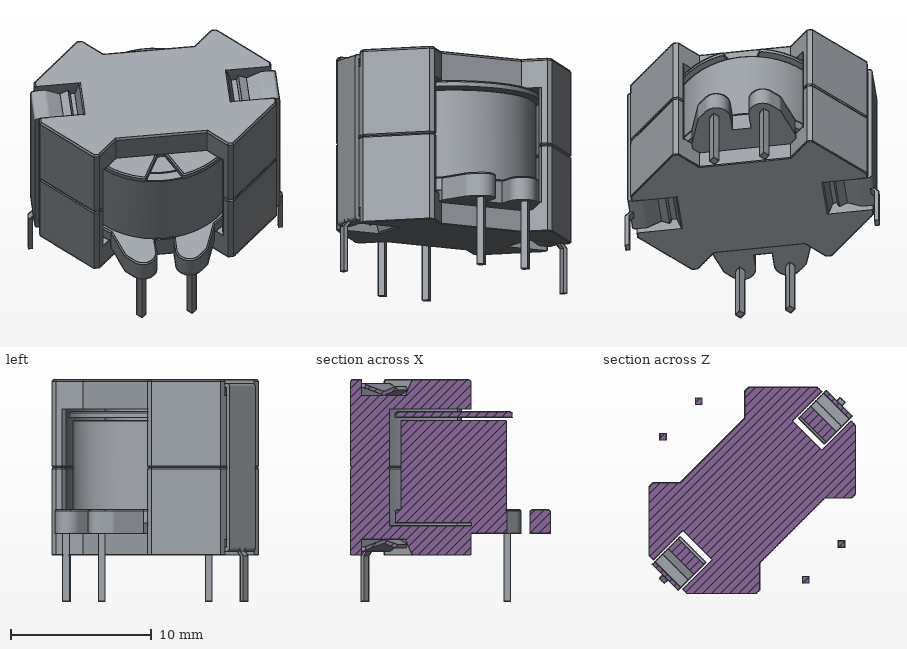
import cadquery as cq
import math

ROOT2 = math.sqrt(2)
TURN = 45
EXTRA = 20.0

CORE_HEIGHT = 12.5
CORE_SIDE = 14.7
WING_OFFSET = 0.55
CORE_END = 8.47
WAIST_HALF = 4.03
WING_CHAMFER = 0.28
TOP_CHAMFER_HEIGHT = 0.15
TOP_CHAMFER_WIDTH = 0.1
BOTTOM_CHAMFER = 0.06
MATING_CHAMFER = 0.1
FLOOR_THICKNESS = 2.1
POCKET_RADIUS = 6.37
WINDOW_HALF = 4.3

SLOT_WIDTH = 2.95
SLOT_DEPTH = 1.13
SLOT_INNER_TOP = 5.19
SLOT_RIM_CHAMFER = 0.1
SLOT_INNER_FLOOR = 5.6

CLIP_WIDTH = 2.6
CLIP_THICKNESS = 0.3
CLIP_OUTER = CORE_END + CLIP_THICKNESS
CLIP_SETBACK = 0.27
CLIP_BEND = 0.25
ARM_END = 7.72
ARM_CREASE_RADIUS = 0.4
VALLEY = 6.67
ARM_TIP = 6.1
TIP_SETBACK = 0.5
CLIP_PIN_WIDTH = 0.5
CLIP_PIN_OUTER = 9.1
JOG_TOP = 0.3
JOG_BOTTOM = -0.05

OVERALL_HEIGHT = 15.78
PIN_END = CORE_HEIGHT - OVERALL_HEIGHT
PIN_SIZE = 0.48
PIN_NEAR = 3.81
PIN_FAR = 6.35

HUB_RADIUS = 7.15 / 2
FLANGE_RADIUS = 6.12
BASE_BOTTOM = 1.56
BASE_TOP = 3.25
LOWER_FLANGE_BOTTOM = 2.3
FLANGE_BOTTOM = 9.8
FLANGE_TOP = 10.21
EDGE_CHAMFER = 0.1
LEAD_NOTCH_APEX = 3.2
LEAD_NOTCH_HALF_ANGLE = 26
LEAD_NOTCH_CORNER = 0.2
LOBE_RADIUS = 1.0
LOBE_NOTCH_HALF = 0.67
LOBE_NOTCH_FLOOR = 5.85
LOBE_REACH = 7.15
LOBE_CORNER = 2.97
LOBE_ROOT = 0.82
LOBE_CORNER_RADIUS = 0.4

WINDING_RADIUS = 11.69 / 2
WINDING_CHAMFER = 0.05
WINDING_TOP = 9.6
GROOVE_INNER = 10.07 / 2
GROOVE_OUTER = 10.17 / 2


def to_core_axes(x, y):
    """Express a point of the final axes in the core axes."""
    return ((x + y) / ROOT2, (y - x) / ROOT2)


def mirror_in_height(body):
    """Mirror image about mid height of the core."""
    return body.mirror("XY", (0, 0, CORE_HEIGHT / 2))


def core_outline():
    square_half = CORE_SIDE / 2
    end_corner = (CORE_END, square_half * ROOT2 - CORE_END)
    wing_corner = to_core_axes(-WING_OFFSET, square_half)
    waist_corner = (wing_corner[0] - (wing_corner[1] - WAIST_HALF), WAIST_HALF)
    quarter = [end_corner, wing_corner, waist_corner]
    half = quarter + [(-x, y) for x, y in reversed(quarter)]
    return half + [(-x, -y) for x, y in half], wing_corner


def clip_slot():
    floor = CORE_HEIGHT - SLOT_DEPTH
    profile = [
        (SLOT_INNER_TOP, CORE_HEIGHT),
        (SLOT_INNER_TOP + SLOT_RIM_CHAMFER, CORE_HEIGHT - SLOT_RIM_CHAMFER),
        (SLOT_INNER_FLOOR, floor),
        (EXTRA, floor),
        (EXTRA, CORE_HEIGHT),
    ]
    return cq.Workplane("XZ").polyline(profile).close().extrude(SLOT_WIDTH / 2, both=True)


def winding_window():
    """Round pocket for the bobbin, opened through both waists."""
    height = CORE_HEIGHT - 2 * FLOOR_THICKNESS
    floor = cq.Workplane("XY").workplane(offset=FLOOR_THICKNESS)
    pocket = floor.circle(POCKET_RADIUS).extrude(height)
    opening = floor.rect(2 * WINDOW_HALF, EXTRA).extrude(height)
    return pocket.union(opening)


def core_half(outer_chamfer_height, outer_chamfer_width):
    """Upper core half, with the given chamfer around its outer face."""
    outline, wing = core_outline()
    middle = CORE_HEIGHT / 2
    body = cq.Workplane("XY").workplane(offset=middle).polyline(outline).close().extrude(middle)
    for x in (wing[0], -wing[0]):
        for y in (wing[1], -wing[1]):
            edge = cq.selectors.NearestToPointSelector((x, y, CORE_HEIGHT * 3 / 4))
            body = body.edges("|Z").edges(edge).chamfer(WING_CHAMFER)
    body = body.faces(">Z").edges().chamfer(outer_chamfer_height, outer_chamfer_width)
    body = body.cut(winding_window()).faces("<Z").edges().chamfer(MATING_CHAMFER)
    slot = clip_slot()
    return body.cut(slot).cut(slot.mirror("YZ"))


def core():
    upper = core_half(TOP_CHAMFER_HEIGHT, TOP_CHAMFER_WIDTH)
    lower = mirror_in_height(core_half(BOTTOM_CHAMFER, BOTTOM_CHAMFER))
    return upper.union(lower)


def clip_arm():
    """Upper half of a clip: leg, bend, and an arm bent into a shallow V on the slot floor."""
    arm_top = CORE_HEIGHT - CLIP_SETBACK
    valley_bottom = CORE_HEIGHT - SLOT_DEPTH
    valley_top = valley_bottom + CLIP_THICKNESS
    tip_top = CORE_HEIGHT - TIP_SETBACK
    rise = math.atan2(tip_top - valley_top, VALLEY - ARM_TIP)
    tip_inner = (ARM_TIP - CLIP_THICKNESS * math.sin(rise), tip_top - CLIP_THICKNESS * math.cos(rise))
    inner_face = CLIP_OUTER - CLIP_THICKNESS
    profile = (
        cq.Workplane("XZ")
        .moveTo(CLIP_OUTER, CORE_HEIGHT / 2)
        .lineTo(CLIP_OUTER, arm_top - CLIP_BEND)
        .radiusArc((CLIP_OUTER - CLIP_BEND, arm_top), -CLIP_BEND)
        .lineTo(ARM_END, arm_top)
        .lineTo(VALLEY, valley_top)
        .lineTo(ARM_TIP, tip_top)
        .lineTo(*tip_inner)
        .lineTo(VALLEY, valley_bottom)
        .lineTo(ARM_END, arm_top - CLIP_THICKNESS)
        .lineTo(inner_face, arm_top - CLIP_THICKNESS)
        .lineTo(inner_face, CORE_HEIGHT / 2)
        .close()
    )
    arm = profile.extrude(CLIP_WIDTH / 2, both=True)
    crease = cq.selectors.NearestToPointSelector((ARM_END, 0, arm_top))
    return arm.edges("|Y").edges(crease).fillet(ARM_CREASE_RADIUS)


def clip_pin():
    """Pin that leaves the lower end of the leg and jogs outwards."""
    inner_face = CLIP_OUTER - CLIP_THICKNESS
    pin_inner = CLIP_PIN_OUTER - CLIP_THICKNESS
    leg_overlap = CLIP_SETBACK + 2 * CLIP_BEND
    profile = [
        (inner_face, leg_overlap),
        (CLIP_OUTER, leg_overlap),
        (CLIP_OUTER, JOG_TOP),
        (CLIP_PIN_OUTER, JOG_BOTTOM),
        (CLIP_PIN_OUTER, PIN_END),
        (pin_inner, PIN_END),
        (pin_inner, JOG_BOTTOM),
        (inner_face, JOG_TOP),
    ]
    return cq.Workplane("XZ").polyline(profile).close().extrude(CLIP_PIN_WIDTH / 2, both=True)


def clips():
    arm = clip_arm()
    clip = arm.union(mirror_in_height(arm)).union(clip_pin())
    return clip.union(clip.mirror("YZ"))


def terminal_lobe():
    """One rounded tab on the -Y side, +X of the notch, reaching out over a pin."""
    centre_x = LOBE_NOTCH_HALF + LOBE_RADIUS
    centre_y = centre_x - (LOBE_REACH - LOBE_RADIUS) * ROOT2
    diagonal = LOBE_RADIUS / ROOT2
    corner = to_core_axes(LOBE_REACH, -LOBE_CORNER)
    root = to_core_axes(math.sqrt(FLANGE_RADIUS**2 - LOBE_ROOT**2), -LOBE_ROOT)
    arc_middle_angle = math.radians(-TURN - TURN * 1.5)
    arc_middle = (
        centre_x + LOBE_RADIUS * math.cos(arc_middle_angle),
        centre_y + LOBE_RADIUS * math.sin(arc_middle_angle),
    )
    lobe = (
        cq.Workplane("XY")
        .workplane(offset=BASE_BOTTOM)
        .moveTo(LOBE_NOTCH_HALF, -WAIST_HALF)
        .lineTo(LOBE_NOTCH_HALF, centre_y)
        .threePointArc(arc_middle, (centre_x + diagonal, centre_y - diagonal))
        .lineTo(*corner)
        .lineTo(*root)
        .lineTo(root[0], -WAIST_HALF)
        .close()
        .extrude(BASE_TOP - BASE_BOTTOM)
    )
    nearest = cq.selectors.NearestToPointSelector((*corner, (BASE_BOTTOM + BASE_TOP) / 2))
    return lobe.edges("|Z").edges(nearest).fillet(LOBE_CORNER_RADIUS)


def lower_flange():
    """Disc between the two pairs of lobes, with the lobe notches carried into its rim."""
    height = BASE_TOP - LOWER_FLANGE_BOTTOM
    level = cq.Workplane("XY").workplane(offset=LOWER_FLANGE_BOTTOM)
    notch_width = 2 * LOBE_NOTCH_HALF
    notch = level.rect(notch_width, EXTRA).rect(notch_width, 2 * LOBE_NOTCH_FLOOR).extrude(height)
    return level.circle(FLANGE_RADIUS).extrude(height).cut(notch)


def terminal_base():
    """Lower flange with a pair of lobes on each side."""
    lobe = terminal_lobe()
    bridge_width = 2 * LOBE_NOTCH_HALF
    bridge_length = LOBE_NOTCH_FLOOR - WAIST_HALF
    bridge = cq.Workplane("XY").box(
        bridge_width, bridge_length, BASE_TOP - BASE_BOTTOM, centered=(True, False, False)
    )
    bridge = bridge.translate((0, -LOBE_NOTCH_FLOOR, BASE_BOTTOM))
    side = lobe.union(lobe.mirror("YZ")).union(bridge)
    base = lower_flange().union(side).union(side.mirror("XZ"))
    return base.faces(">Z").edges().chamfer(EDGE_CHAMFER)


def upper_flange():
    height = FLANGE_TOP - FLANGE_BOTTOM
    level = cq.Workplane("XY").workplane(offset=FLANGE_BOTTOM)
    flange = level.circle(FLANGE_RADIUS).extrude(height)
    reach = EXTRA / 2
    half_width = (reach - LEAD_NOTCH_APEX) * math.tan(math.radians(LEAD_NOTCH_HALF_ANGLE))
    notch = [(0, -LEAD_NOTCH_APEX), (half_width, -reach), (-half_width, -reach)]
    flange = flange.cut(level.polyline(notch).close().extrude(height))
    corners = cq.selectors.BoxSelector(
        (-FLANGE_RADIUS, -FLANGE_RADIUS, FLANGE_BOTTOM),
        (FLANGE_RADIUS, -WAIST_HALF, FLANGE_TOP),
    )
    flange = flange.edges("|Z").edges(corners).fillet(LEAD_NOTCH_CORNER)
    return flange.faces(">Z").edges().chamfer(EDGE_CHAMFER)


def bobbin():
    hub_height = CORE_HEIGHT - 2 * FLOOR_THICKNESS
    hub = cq.Workplane("XY").workplane(offset=FLOOR_THICKNESS).circle(HUB_RADIUS).extrude(hub_height)
    return hub.union(terminal_base()).union(upper_flange())


def winding():
    level = cq.Workplane("XY").workplane(offset=BASE_TOP)
    coil = level.circle(WINDING_RADIUS).extrude(WINDING_TOP - BASE_TOP)
    coil = coil.faces(">Z").edges().chamfer(WINDING_CHAMFER)
    groove = cq.Workplane("XY").workplane(offset=WINDING_TOP - WINDING_CHAMFER)
    groove = groove.circle(GROOVE_OUTER).circle(GROOVE_INNER).extrude(WINDING_CHAMFER)
    return coil.cut(groove)


def terminal_pins():
    """Square pins, aligned with the final axes."""
    corners = [(PIN_FAR, -PIN_NEAR), (PIN_NEAR, -PIN_FAR), (-PIN_FAR, PIN_NEAR), (-PIN_NEAR, PIN_FAR)]
    level = cq.Workplane("XY").workplane(offset=PIN_END)
    return level.pushPoints(corners).rect(PIN_SIZE, PIN_SIZE).extrude(BASE_BOTTOM + CLIP_BEND - PIN_END)


body = core().union(clips()).union(bobbin()).union(winding())
result = body.rotate((0, 0, 0), (0, 0, 1), TURN).union(terminal_pins())